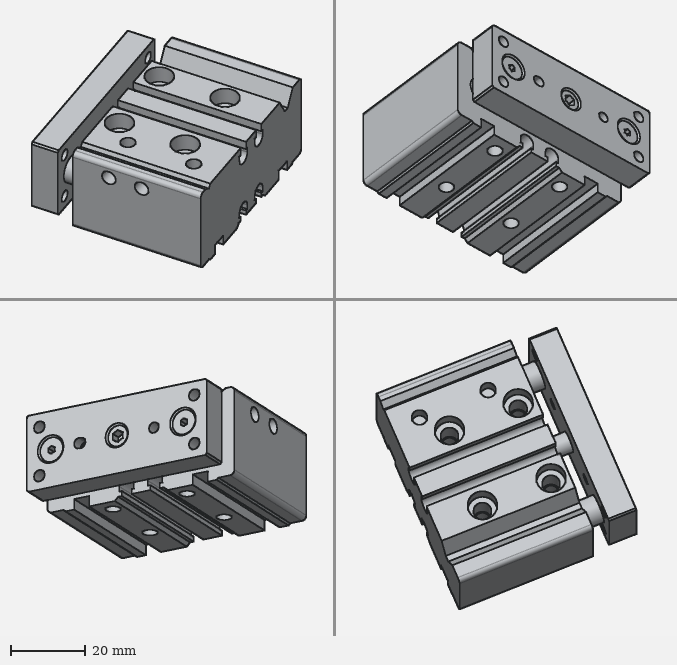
import cadquery as cq
import math


overall_length = 52.0
housing_length = 39.0
housing_width = 58.0
housing_height = 26.0
plate_thickness = 8.0
plate_width = 55.9
plate_height = 22.0
plate_chamfer = 0.5
housing_front = overall_length - housing_length
top = housing_height / 2
bottom = -top

corner_radius = 1.35
edge_relief_depth = 0.5
edge_relief_inner = 23.5
centre_relief_depth = 1.05
centre_relief_half_width = 7.0

sensor_slot_offset = 4.4
sensor_slot_mouth = 3.0
sensor_slot_bore = 4.5
sensor_slot_neck = 2.5
sensor_slot_wall = 1.45

wide_groove_centre = 20.25
wide_groove_floor = 1.75
wide_groove_depth = 5.0
wide_groove_angle = 60.0

v_groove_depth = 1.2
v_groove_root = -24.2
v_groove_steep_angle = 60.0
v_groove_shallow_angle = 30.0

foot_slot_centre = 18.4
foot_slot_width = 4.65
foot_slot_depth = 3.0

mount_first = 5.0
mount_pitch = 20.0
hole_row_offset = 11.5
counterbore_diameter = 8.0
counterbore_depth = 5.0
upper_bore_diameter = 4.8
upper_bore_end = housing_height / 2
lower_bore_diameter = 4.2

port_diameter = 4.2
port_depth = 5.0
port_first = 11.0
top_port_y = -18.0
side_port_pitch = 10.0
side_port_z = 8.5

guide_rod_diameter = 8.0
guide_rod_pitch = 41.0
guide_end_diameter = 7.0
guide_hex_flats = 2.0
guide_hex_depth = 3.0
piston_rod_diameter = 6.0
piston_mouth_diameter = 7.0
piston_hex_flats = 3.0
piston_hex_depth = 3.0

corner_hole_diameter = 3.3
corner_hole_y = 24.0
corner_hole_z = 7.0
locating_hole_diameter = 3.0
locating_slot_length = 3.5
locating_slot_depth = 3.6


def prism(points):
    """Closed Y-Z outline carried along the full length of the housing."""
    return cq.Workplane("YZ", origin=(housing_front, 0, 0)).polyline(points).close().extrude(housing_length)


def drill_x(x, y, z, diameter, depth):
    """Cylinder that starts at (x, y, z) and runs toward +X."""
    return cq.Workplane("YZ", origin=(x, y, z)).circle(diameter / 2).extrude(depth)


def drill_down(x, y, diameter, depth):
    """Cylinder that starts in the top face of the housing and runs toward -Z."""
    return cq.Workplane("XY", origin=(x, y, top)).circle(diameter / 2).extrude(-depth)


def housing_block():
    half = housing_width / 2
    edge_z = bottom + edge_relief_depth
    centre_z = bottom + centre_relief_depth
    left_half = [
        (-half, top),
        (-half, edge_z),
        (-edge_relief_inner - edge_relief_depth, edge_z),
        (-edge_relief_inner, bottom),
        (-centre_relief_half_width - centre_relief_depth, bottom),
        (-centre_relief_half_width, centre_z),
    ]
    right_half = [(-y, z) for y, z in reversed(left_half)]
    block = prism(left_half + right_half)
    return block.edges("|X").edges("<Y or >Y").fillet(corner_radius)


def sensor_slot(y, side):
    """Slot with a narrow mouth and a round-bottomed pocket; side is 1 for the top, -1 for the underside."""
    mouth = sensor_slot_mouth / 2
    pocket = sensor_slot_bore / 2
    neck_end = top - sensor_slot_neck
    wall_end = neck_end - sensor_slot_wall
    return (
        cq.Workplane("YZ", origin=(housing_front, y, 0))
        .moveTo(-mouth, side * top)
        .lineTo(-mouth, side * neck_end)
        .lineTo(-pocket, side * neck_end)
        .lineTo(-pocket, side * wall_end)
        .threePointArc((0, side * (wall_end - pocket)), (pocket, side * wall_end))
        .lineTo(pocket, side * neck_end)
        .lineTo(mouth, side * neck_end)
        .lineTo(mouth, side * top)
        .close()
        .extrude(housing_length)
    )


def wide_groove():
    floor_half = wide_groove_floor / 2
    mouth_half = floor_half + wide_groove_depth / math.tan(math.radians(wide_groove_angle))
    floor_z = top - wide_groove_depth
    return prism([
        (wide_groove_centre - mouth_half, top),
        (wide_groove_centre - floor_half, floor_z),
        (wide_groove_centre + floor_half, floor_z),
        (wide_groove_centre + mouth_half, top),
    ])


def v_groove():
    steep_run = v_groove_depth / math.tan(math.radians(v_groove_steep_angle))
    shallow_run = v_groove_depth / math.tan(math.radians(v_groove_shallow_angle))
    return prism([
        (v_groove_root + steep_run, top),
        (v_groove_root, top - v_groove_depth),
        (v_groove_root - shallow_run, top),
    ])


def foot_slot(y):
    half = foot_slot_width / 2
    roof_z = bottom + foot_slot_depth
    return prism([(y - half, bottom), (y - half, roof_z), (y + half, roof_z), (y + half, bottom)])


def mounting_hole(x, y):
    return (
        drill_down(x, y, lower_bore_diameter, housing_height)
        .union(drill_down(x, y, upper_bore_diameter, upper_bore_end))
        .union(drill_down(x, y, counterbore_diameter, counterbore_depth))
    )


def side_port(x):
    return (
        cq.Workplane("XZ", origin=(x, -housing_width / 2, side_port_z))
        .circle(port_diameter / 2)
        .extrude(-port_depth)
    )


def make_housing():
    body = housing_block()
    for mirror in (-1, 1):
        for side in (-1, 1):
            body = body.cut(sensor_slot(mirror * sensor_slot_offset, side))
        body = body.cut(foot_slot(mirror * foot_slot_centre))
    body = body.cut(wide_groove()).cut(v_groove())
    for i in range(2):
        mount_x = housing_front + mount_first + i * mount_pitch
        for mirror in (-1, 1):
            body = body.cut(mounting_hole(mount_x, mirror * hole_row_offset))
        top_port_x = housing_front + port_first + i * mount_pitch
        body = body.cut(drill_down(top_port_x, top_port_y, port_diameter, port_depth))
        body = body.cut(side_port(housing_front + port_first + i * side_port_pitch))
    return body


def plate_block():
    return (
        cq.Workplane("YZ")
        .rect(plate_width, plate_height)
        .extrude(plate_thickness)
        .edges("|X")
        .chamfer(plate_chamfer)
    )


def rod(y, diameter):
    """Rod from the back of the plate to the front face of the housing."""
    return drill_x(plate_thickness, y, 0, diameter, housing_front - plate_thickness)


def rod_end_recess(y, mouth_diameter, end_diameter, hex_flats, hex_depth):
    """Shallow 45 degree countersink around the end of a rod, with a hexagonal socket in its floor."""
    depth = (mouth_diameter - end_diameter) / 2
    cone = cq.Solid.makeCone(
        mouth_diameter / 2, end_diameter / 2, depth, cq.Vector(0, y, 0), cq.Vector(1, 0, 0)
    )
    return cq.Workplane(cone).union(hex_socket(depth, y, hex_flats, hex_depth))


def hex_socket(x, y, flats, depth):
    """Hexagonal socket from (x, y, 0) toward +X, with two corners pointing up and down."""
    across_corners = flats / math.cos(math.radians(30))
    return (
        cq.Workplane("YZ", origin=(x, y, 0))
        .transformed(rotate=(0, 0, 90))
        .polygon(6, across_corners)
        .extrude(depth)
    )


def locating_slot():
    return (
        cq.Workplane("YZ", origin=(0, hole_row_offset, 0))
        .slot2D(locating_slot_length, locating_hole_diameter)
        .extrude(locating_slot_depth)
    )


def make_plate_with_rods():
    body = plate_block().union(rod(0, piston_rod_diameter))
    body = body.cut(
        rod_end_recess(0, piston_mouth_diameter, piston_rod_diameter, piston_hex_flats, piston_hex_depth)
    )
    for mirror in (-1, 1):
        guide_y = mirror * guide_rod_pitch / 2
        body = body.union(rod(guide_y, guide_rod_diameter))
        body = body.cut(
            rod_end_recess(guide_y, guide_rod_diameter, guide_end_diameter, guide_hex_flats, guide_hex_depth)
        )
        body = body.cut(drill_x(0, mirror * hole_row_offset, 0, locating_hole_diameter, plate_thickness))
        for level in (-1, 1):
            hole_z = level * corner_hole_z
            body = body.cut(drill_x(0, mirror * corner_hole_y, hole_z, corner_hole_diameter, plate_thickness))
    return body.cut(locating_slot())


housing = make_housing()
plate_with_rods = make_plate_with_rods()
result = cq.Compound.makeCompound([housing.val(), plate_with_rods.val()])